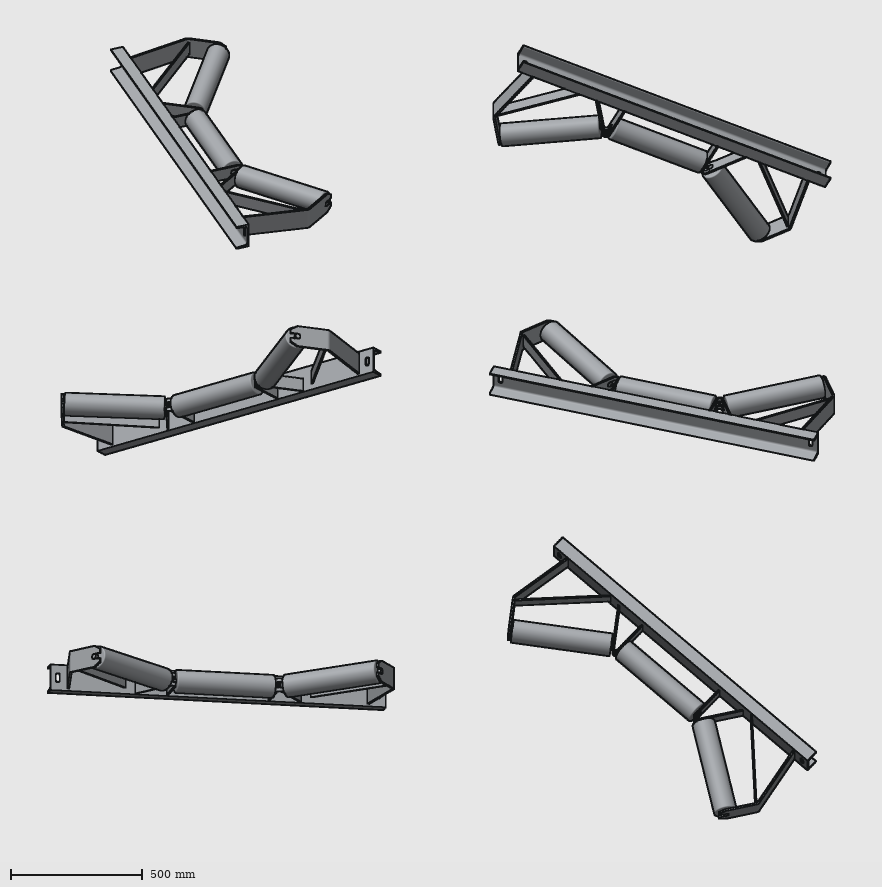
import cadquery as cq
import math


channel_length = 1300.0
channel_height = 100.0
flange_width = 50.0
web_thickness = 6.0
flange_thickness = 8.5
flange_slope = 0.08
root_radius = 8.5
toe_radius = 4.5
web_slot_width = 15.0
web_slot_height = 35.0
web_slot_inset = 29.0

roller_radius = 44.0
roller_length = 380.0
roller_end_fillet = 4.5
shaft_radius = 9.8
trough_angle = 35.0
forward_tilt = 2.9

outer_thickness = 8.0
inner_thickness = 6.0
shaft_slot_width = 21.0
center_gap = 4.0

inner_height = 51.0
inner_bend_radius = 8.5
center_axis_y = 116.0
center_axis_z = -21.0
inner_foot_x = 317.0
inner_seat_height = 153.0

outer_height = 82.0
outer_bend_radius = 9.0
outer_foot_x = 581.0
outer_bend_x = 625.0
outer_bend_y = 252.0
outer_arm_length = 152.0
tip_chamfer_along = 27.0
tip_chamfer_across = 15.0

strut_height = 52.0
strut_foot_x = 363.0
strut_angle = 45.0

trough = math.radians(trough_angle)
inward = cq.Vector(math.cos(trough), -math.sin(trough), 0)
strapward = cq.Vector(math.sin(trough), math.cos(trough), 0)

leg_x = -(roller_length / 2 + center_gap + inner_thickness / 2)
inner_foot = cq.Vector(-inner_foot_x, 0, 0)
inner_bend = inner_foot + strapward * ((leg_x + inner_foot_x) / strapward.x)

outer_foot = cq.Vector(-outer_foot_x, 0, 0)
outer_bend = cq.Vector(-outer_bend_x, outer_bend_y, 0)
outer_tip = outer_bend + strapward * outer_arm_length

arm_spacing = (inner_foot - outer_bend).dot(inward)
shaft_drop = arm_spacing * math.tan(math.radians(forward_tilt))
inner_seat = inner_foot + strapward * inner_seat_height + cq.Vector(0, 0, center_axis_z)
outer_seat = inner_seat - inward * arm_spacing + cq.Vector(0, 0, shaft_drop)
center_seat = cq.Vector(leg_x, center_axis_y, center_axis_z)


def make_channel():
    half_height = channel_height / 2
    half_rise = flange_slope * flange_width / 2
    toe_z = half_height - flange_thickness + half_rise
    root_z = half_height - flange_thickness - flange_slope * (flange_width / 2 - web_thickness)
    channel = (
        cq.Workplane("YZ", origin=(-channel_length / 2, 0, 0))
        .polyline([
            (0, -half_height), (-flange_width, -half_height), (-flange_width, -toe_z),
            (-web_thickness, -root_z), (-web_thickness, root_z),
            (-flange_width, toe_z), (-flange_width, half_height), (0, half_height),
        ])
        .close()
        .extrude(channel_length)
    )
    pick = toe_radius / 10

    def edges_near(y, z, side):
        """Lengthwise edges through (y, z) in the lower (side -1) or upper (side 1) half."""
        return cq.selectors.BoxSelector(
            (-pick, y - pick, side * z - pick), (pick, y + pick, side * z + pick)
        )

    for side in (-1, 1):
        channel = channel.edges(edges_near(-web_thickness, root_z, side)).fillet(root_radius)
        channel = channel.edges(edges_near(-flange_width, toe_z, side)).fillet(toe_radius)

    web_slots = (
        cq.Workplane("XZ")
        .pushPoints([(side * (channel_length / 2 - web_slot_inset), 0) for side in (-1, 1)])
        .slot2D(web_slot_height, web_slot_width, 90)
        .extrude(web_thickness)
    )
    return channel.cut(web_slots)


def make_roller(shell_start, shaft_start, shaft_end):
    """Filleted roller shell with its shaft showing at both ends; the points lie on one axis."""
    axis = shaft_end - shaft_start
    shell = (
        cq.Workplane(cq.Plane(shell_start, normal=axis))
        .circle(roller_radius)
        .extrude(roller_length)
        .edges()
        .fillet(roller_end_fillet)
    )
    shaft = cq.Workplane(cq.Plane(shaft_start, normal=axis)).circle(shaft_radius).extrude(axis.Length)
    return shell.union(shaft)


def make_center_roller():
    shaft_half = cq.Vector(leg_x - inner_thickness / 2, 0, 0)
    middle = cq.Vector(0, center_axis_y, center_axis_z)
    shell_start = middle - cq.Vector(roller_length / 2, 0, 0)
    return make_roller(shell_start, middle + shaft_half, middle - shaft_half)


def make_wing_roller():
    along = (inner_seat - outer_seat).normalized()
    shell_start = (inner_seat + outer_seat) * 0.5 - along * (roller_length / 2)
    shaft_start = outer_seat - along * (outer_thickness / 2)
    shaft_end = inner_seat + along * (inner_thickness / 2)
    return make_roller(shell_start, shaft_start, shaft_end)


def make_strap(path, thickness, height, middle_z, bend_radius=0):
    """Flat strap on edge whose middle follows a path of two or three points.

    The bend at the middle point is rounded, and what lies below the web's back is cut off.
    """
    first = (path[1] - path[0]).normalized()
    last = (path[-1] - path[-2]).normalized()
    first_normal = cq.Vector(-first.y, first.x, 0)
    last_normal = cq.Vector(-last.y, last.x, 0)
    has_bend = len(path) == 3
    sides = []
    for offset in (thickness / 2, -thickness / 2):
        side = [path[0] - first * thickness + first_normal * offset]
        if has_bend:
            miter = (first_normal + last_normal) / (1 + first_normal.dot(last_normal))
            side.append(path[1] + miter * offset)
        side.append(path[-1] + last_normal * offset)
        sides.append(side)
    outline = sides[0] + sides[1][::-1]
    strap = (
        cq.Workplane("XY", origin=(0, 0, middle_z - height / 2))
        .polyline([(point.x, point.y) for point in outline])
        .close()
        .extrude(height)
    )
    if has_bend:
        turn = first.cross(last).z
        for side, inner in zip(sides, (turn > 0, turn < 0)):
            radius = bend_radius if inner else bend_radius + thickness
            corner = cq.Vector(side[1].x, side[1].y, middle_z)
            strap = strap.edges(cq.selectors.NearestToPointSelector(corner.toTuple())).fillet(radius)
    below_web = cq.Workplane("XY").box(
        2 * channel_length, channel_length, 2 * channel_height, centered=(True, False, True)
    ).translate((0, -channel_length, 0))
    return strap.cut(below_web)


def shaft_slot(seat, axis, length, depth):
    """Round-bottomed slot cutter for a shaft along axis, open upward along the strap."""
    open_direction = cq.Vector(-axis.y, axis.x, 0)
    plane = cq.Plane(seat - axis * (depth / 2), xDir=open_direction, normal=axis)
    round_bottom = cq.Workplane(plane).circle(shaft_slot_width / 2).extrude(depth)
    straight = cq.Workplane(plane).center(length / 2, 0).rect(length, shaft_slot_width).extrude(depth)
    return round_bottom.union(straight)


def make_inner_bracket():
    leg_foot = cq.Vector(leg_x, -inner_thickness, 0)
    bracket = make_strap(
        [inner_foot, inner_bend, leg_foot], inner_thickness, inner_height, center_axis_z, inner_bend_radius
    )
    slot_length = inner_bend.y - center_axis_y
    depth = 2 * inner_thickness
    bracket = bracket.cut(shaft_slot(inner_seat, inward, slot_length, depth))
    return bracket.cut(shaft_slot(center_seat, cq.Vector(1, 0, 0), slot_length, depth))


def make_outer_bracket():
    bracket = make_strap(
        [outer_foot, outer_bend, outer_tip], outer_thickness, outer_height, 0, outer_bend_radius
    )
    tip_plane = cq.Plane(outer_tip - inward * outer_thickness, xDir=strapward, normal=inward)
    for side in (-1, 1):
        corner = side * outer_height / 2
        chamfer = (
            cq.Workplane(tip_plane)
            .polyline([(0, corner), (-tip_chamfer_along, corner), (0, corner - side * tip_chamfer_across)])
            .close()
            .extrude(2 * outer_thickness)
        )
        bracket = bracket.cut(chamfer)
    return bracket.cut(shaft_slot(outer_seat, inward, outer_arm_length, 2 * outer_thickness))


def make_strut(outer_bracket):
    """Brace from the channel to the outer bracket's arm, trimmed to the bracket's inside."""
    lean = math.radians(strut_angle)
    upward = cq.Vector(-math.cos(lean), math.sin(lean), 0)
    foot = cq.Vector(-strut_foot_x, 0, 0)
    length = (outer_bend - foot).dot(inward) / upward.dot(inward)
    strut = make_strap([foot, foot + upward * length], inner_thickness, strut_height, 0)
    return strut.cut(outer_bracket)


channel = make_channel()
center_roller = make_center_roller()
outer_bracket = make_outer_bracket()
left_wing = [make_wing_roller(), make_inner_bracket(), outer_bracket, make_strut(outer_bracket)]
right_wing = [body.mirror("YZ") for body in left_wing]

bodies = [channel, center_roller, *left_wing, *right_wing]
result = cq.Compound.makeCompound([body.val() for body in bodies])